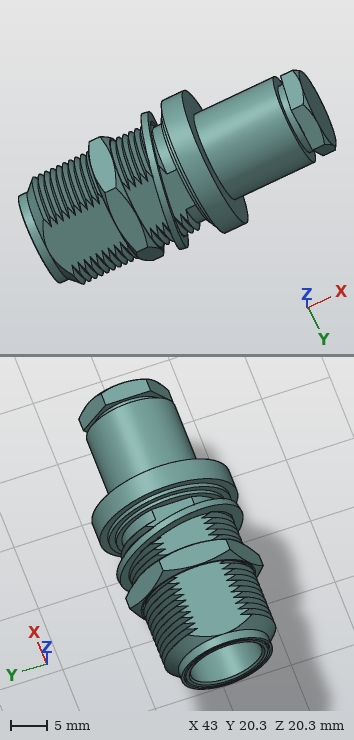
import cadquery as cq
import math


total_length = 42.97
nose_end = 1.34
first_crest = 2.89
neck_start = 21.1
pilot_start = 22.78
seat_start = 23.28
flange_start = 23.84
flange_end = 27.1
barrel_end = 39.38
gland_start = 40.52

nose_radius = 6.69
neck_radius = 7.3
pilot_radius = 8.1
seat_radius = 9.0
flange_radius = 20.32 / 2
barrel_radius = 6.56
gland_neck_radius = 5.1

crest_radius = 8.2
thread_pitch = 0.932
crest_count = 20
thread_depth = thread_pitch / 2 / math.tan(math.radians(30))
root_radius = crest_radius - thread_depth

flat_half_height = nose_radius

socket_radius = 5.28
socket_depth = 10.0
socket_lead_in = 0.28
rim_groove_inner_radius = 6.03
rim_groove_outer_radius = 6.31
rim_groove_depth = 0.5

gland_across_flats = 11.42
gland_chamfer_length = 0.57
gland_end_radius = gland_across_flats / 2

nut_start = 11.7
nut_thickness = 3.3
nut_across_flats = 17.0
nut_face_radius = 8.42
nut_chamfer_angle = 30
nut_lead_in_radius = crest_radius

washer_center_x = 19.3
washer_outer_radius = 9.79
washer_bore_radius = 8.0
washer_thickness = 1.0
washer_tilt = 10


def turned(profile):
    """Solid of revolution about X from (x, radius) points."""
    return cq.Workplane("XY").polyline(profile).close().revolve(360, (0, 0, 0), (1, 0, 0))


def cylinder(start, length, radius):
    return cq.Workplane("YZ").workplane(offset=start).circle(radius).extrude(length)


def corner_radius(across_flats):
    return across_flats / 2 / math.cos(math.radians(30))


def hex_prism(start, length, across_flats):
    """Hexagonal prism along X with two corners on the Y axis."""
    hexagon = cq.Workplane("YZ").workplane(offset=start).polygon(6, 2 * corner_radius(across_flats))
    return hexagon.extrude(length)


def flat_slab():
    """Slab that limits the round front to its two milled flats."""
    slab = cq.Workplane("XY").box(pilot_start, 2 * flange_radius, 2 * flat_half_height)
    return slab.translate((pilot_start / 2, 0, 0))


def make_thread_form():
    """Fully round nose, entry cone, thread rings and neck, before the flats are milled."""
    profile = [(0, 0), (0, nose_radius), (nose_end, nose_radius)]
    for ring in range(crest_count):
        crest_x = first_crest + ring * thread_pitch
        profile.append((crest_x, crest_radius))
        if ring < crest_count - 1:
            profile.append((crest_x + thread_pitch / 2, root_radius))
    profile += [(neck_start, neck_radius), (pilot_start, neck_radius), (pilot_start, 0)]
    return turned(profile)


def make_rear():
    """Stepped flange, barrel and gland neck."""
    return turned([
        (pilot_start, 0),
        (pilot_start, pilot_radius),
        (seat_start, pilot_radius),
        (seat_start, seat_radius),
        (flange_start, seat_radius),
        (flange_start, flange_radius),
        (flange_end, flange_radius),
        (flange_end, barrel_radius),
        (barrel_end, barrel_radius),
        (barrel_end, gland_neck_radius),
        (gland_start, gland_neck_radius),
        (gland_start, 0),
    ])


def make_gland_hex():
    """Gland hex with its corners chamfered at the cable end."""
    corner = corner_radius(gland_across_flats)
    envelope = turned([
        (gland_start, 0),
        (gland_start, corner),
        (total_length - gland_chamfer_length, corner),
        (total_length, gland_end_radius),
        (total_length, 0),
    ])
    return hex_prism(gland_start, total_length - gland_start, gland_across_flats).intersect(envelope)


def make_socket():
    return turned([
        (0, 0),
        (0, socket_radius + socket_lead_in),
        (socket_lead_in, socket_radius),
        (socket_depth, socket_radius),
        (socket_depth, 0),
    ])


def make_rim_groove():
    outer = cylinder(0, rim_groove_depth, rim_groove_outer_radius)
    return outer.cut(cylinder(0, rim_groove_depth, rim_groove_inner_radius))


def make_threaded_front():
    """Thread form with its two flats milled."""
    return make_thread_form().intersect(flat_slab())


def make_body():
    body = make_threaded_front().union(make_rear()).union(make_gland_hex())
    return body.cut(make_socket()).cut(make_rim_groove())


def make_nut():
    """Hex nut chamfered outside and inside on both faces, its bore cut to mate with the thread."""
    nut_end = nut_start + nut_thickness
    corner = corner_radius(nut_across_flats)
    chamfer_slope = math.tan(math.radians(nut_chamfer_angle))
    chamfer = (corner - nut_face_radius) * chamfer_slope
    envelope = turned([
        (nut_start, 0),
        (nut_start, nut_face_radius),
        (nut_start + chamfer, corner),
        (nut_end - chamfer, corner),
        (nut_end, nut_face_radius),
        (nut_end, 0),
    ])
    lead_in = (nut_lead_in_radius - root_radius) * chamfer_slope
    bore = turned([
        (nut_start, 0),
        (nut_start, nut_lead_in_radius),
        (nut_start + lead_in, root_radius),
        (nut_end - lead_in, root_radius),
        (nut_end, nut_lead_in_radius),
        (nut_end, 0),
    ])
    nut = hex_prism(nut_start, nut_thickness, nut_across_flats).intersect(envelope)
    return nut.cut(bore).cut(make_threaded_front())


def make_washer():
    """Flat washer tilted about Z, relieved where the thread crests pass through it."""
    ring = cylinder(-washer_thickness / 2, washer_thickness, washer_outer_radius)
    ring = ring.cut(cylinder(-washer_thickness / 2, washer_thickness, washer_bore_radius))
    ring = ring.rotate((0, 0, 0), (0, 0, 1), washer_tilt).translate((washer_center_x, 0, 0))
    clearance = cylinder(nose_end, pilot_start - nose_end, crest_radius)
    return ring.cut(clearance.intersect(flat_slab()))


body = make_body()
nut = make_nut()
washer = make_washer()

result = cq.Compound.makeCompound([body.solids().val(), nut.solids().val(), washer.solids().val()])